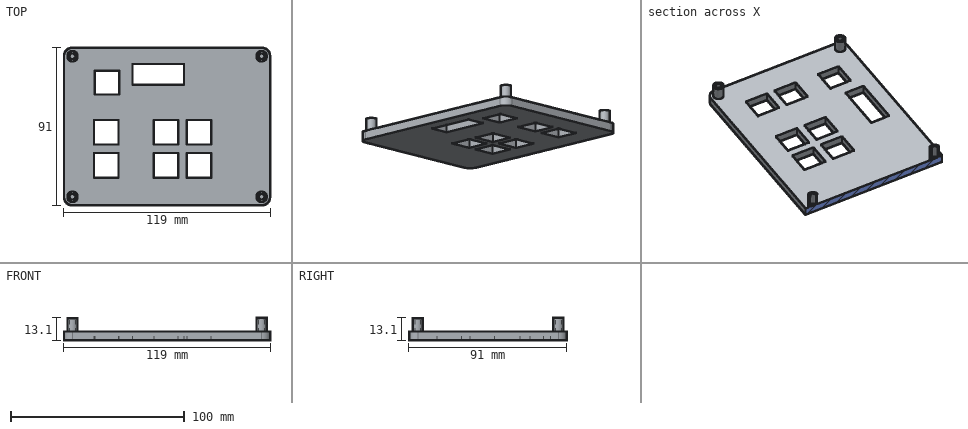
import cadquery as cq

PLATE_LENGTH = 119.0
PLATE_WIDTH = 91.0
PLATE_THICKNESS = 5.2
CORNER_RADIUS = 5.0

POST_DIAMETER = 6.0
POST_BORE_DIAMETER = 3.4
POST_TOP = 12.8
TALL_POST_TOP = 13.09
POST_X = PLATE_LENGTH / 2 - CORNER_RADIUS
POST_Y = PLATE_WIDTH / 2 - CORNER_RADIUS

KEY_SIZE = 14.0
KEY_PITCH = 19.05
LEFT_COLUMN_X = -35.05
MIDDLE_COLUMN_X = -0.6
LOWER_ROW_Y = -22.4
KEY_COLUMNS_X = (LEFT_COLUMN_X, MIDDLE_COLUMN_X, MIDDLE_COLUMN_X + KEY_PITCH)
KEY_ROWS_Y = (LOWER_ROW_Y, LOWER_ROW_Y + KEY_PITCH)

KNOB_LENGTH = 14.0
KNOB_WIDTH = 13.5
KNOB_X = -34.65
KNOB_Y = 25.25

DISPLAY_LENGTH = 29.6
DISPLAY_WIDTH = 11.8
DISPLAY_X = -5.1
DISPLAY_Y = 30.1


def make_plate():
    plate = cq.Workplane("XY").box(
        PLATE_LENGTH, PLATE_WIDTH, PLATE_THICKNESS, centered=(True, True, False)
    )
    return plate.edges("|Z").fillet(CORNER_RADIUS)


def make_opening(x, y, length, width):
    """Rectangular cutter through the whole plate thickness."""
    return cq.Workplane("XY").center(x, y).rect(length, width).extrude(PLATE_THICKNESS)


def make_post(x, y, top):
    """Tube standing on the plate; its bore stops at the plate's upper face."""
    return (
        cq.Workplane("XY", origin=(x, y, PLATE_THICKNESS))
        .circle(POST_DIAMETER / 2)
        .circle(POST_BORE_DIAMETER / 2)
        .extrude(top - PLATE_THICKNESS)
    )


result = make_plate()

for key_x in KEY_COLUMNS_X:
    for key_y in KEY_ROWS_Y:
        result = result.cut(make_opening(key_x, key_y, KEY_SIZE, KEY_SIZE))

result = result.cut(make_opening(KNOB_X, KNOB_Y, KNOB_LENGTH, KNOB_WIDTH))
result = result.cut(make_opening(DISPLAY_X, DISPLAY_Y, DISPLAY_LENGTH, DISPLAY_WIDTH))

for side_x in (-1, 1):
    for side_y in (-1, 1):
        is_tall = side_x > 0 and side_y > 0
        post_top = TALL_POST_TOP if is_tall else POST_TOP
        result = result.union(make_post(side_x * POST_X, side_y * POST_Y, post_top))